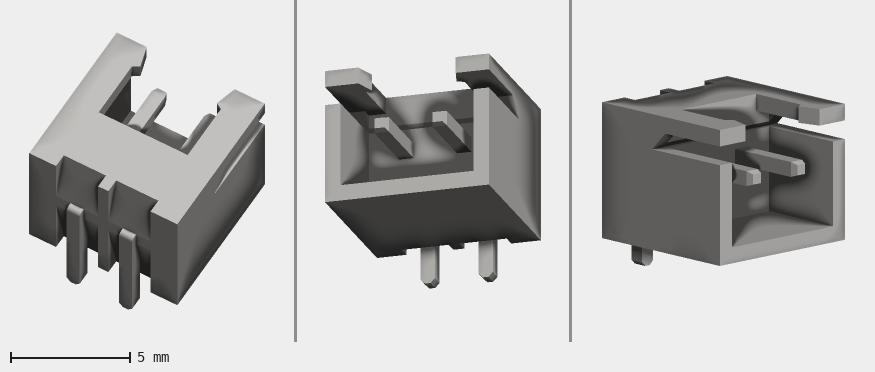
import cadquery as cq


BODY_X = 7.21
BODY_Y = 7.215
BODY_Z = 5.84
SIDE_WALL = 0.685
TOP_WALL = 0.71
CAVITY_DEPTH = 3.92

NOTCH_X = 4.33
MOUTH_INSET = 0.02
BARB_INSET = 0.3
BARB_TIP_DEPTH = 0.995
BARB_END_DEPTH = 1.185

SLOT_Z = 0.81
SLOT_DEPTH = 4.15

PIN_COUNT = 2
PIN_PITCH = 2.55
PIN_SIZE = 0.64
LEG_PROJECTION = 0.325
LEG_DROP = 1.49
TIP_SETBACK = 0.2
TIP_LENGTH = 0.3
TIP_INSET = 0.1
LEG_CHAMFER = 0.195
BEND_RADIUS = 0.2

RECESS_X = 2.05
RECESS_DEPTH = 0.64
UPPER_RECESS_Z = 2.17

PIN_TOP = BODY_Z - UPPER_RECESS_Z
PIN_BOTTOM = PIN_TOP - PIN_SIZE
PIN_CENTRES = [(i - (PIN_COUNT - 1) / 2) * PIN_PITCH for i in range(PIN_COUNT)]


def extrude_along_x(points, width, x_centre=0):
    """Prism with a (Y, Z) outline, centred on x_centre."""
    outline = cq.Workplane("YZ", origin=(x_centre, 0, 0)).polyline(points).close()
    return outline.extrude(width / 2, both=True)


def make_cavity():
    return cq.Workplane("XY").box(
        BODY_X - 2 * SIDE_WALL,
        CAVITY_DEPTH,
        BODY_Z - SIDE_WALL - TOP_WALL,
        centered=(True, False, False),
    ).translate((0, BODY_Y - CAVITY_DEPTH, SIDE_WALL))


def make_top_notch():
    half = NOTCH_X / 2
    right_side = [
        (half, BODY_Y - CAVITY_DEPTH),
        (half, BODY_Y - BARB_END_DEPTH),
        (half - BARB_INSET, BODY_Y - BARB_TIP_DEPTH),
        (half - MOUTH_INSET, BODY_Y),
    ]
    left_side = [(-x, y) for x, y in reversed(right_side)]
    outline = cq.Workplane("XY", origin=(0, 0, BODY_Z - TOP_WALL)).polyline(right_side + left_side)
    return outline.close().extrude(TOP_WALL)


def make_side_slot():
    slot_top = BODY_Z - TOP_WALL
    slot_bottom = slot_top - SLOT_Z
    inner_end = BODY_Y - SLOT_DEPTH
    outline = [
        (BODY_Y, slot_bottom),
        (inner_end, slot_bottom),
        (inner_end + SLOT_Z, slot_top),
        (BODY_Y, slot_top),
    ]
    return extrude_along_x(outline, BODY_X)


def make_rear_recesses(x_centre):
    """Wedges that run out to nothing at the band of rear wall around the pin."""
    upper = [(0, PIN_TOP), (0, BODY_Z), (RECESS_DEPTH, BODY_Z)]
    lower = [(0, PIN_BOTTOM), (0, 0), (RECESS_DEPTH, 0)]
    return extrude_along_x(upper, RECESS_X, x_centre).union(extrude_along_x(lower, RECESS_X, x_centre))


def make_pin(x_centre):
    tip_y = BODY_Y - TIP_SETBACK
    shank_end = tip_y - TIP_LENGTH
    leg_back = -LEG_PROJECTION
    leg_front = leg_back + PIN_SIZE
    bent_bar = extrude_along_x(
        [
            (leg_back, -LEG_DROP),
            (leg_back, PIN_TOP),
            (shank_end, PIN_TOP),
            (shank_end, PIN_BOTTOM),
            (leg_front, PIN_BOTTOM),
            (leg_front, -LEG_DROP),
        ],
        PIN_SIZE,
    )
    bent_bar = bent_bar.edges("|X").edges("<Y").edges(">Z").fillet(BEND_RADIUS)
    bent_bar = bent_bar.faces("<Z").edges("|Y").chamfer(LEG_CHAMFER)

    tip_size = PIN_SIZE - 2 * TIP_INSET
    pin_axis_z = PIN_TOP - PIN_SIZE / 2
    tip = (
        cq.Workplane("XZ", origin=(0, shank_end, pin_axis_z))
        .rect(PIN_SIZE, PIN_SIZE)
        .workplane(offset=-TIP_LENGTH)
        .rect(tip_size, tip_size)
        .loft(ruled=True)
    )
    return bent_bar.union(tip).translate((x_centre, 0, 0))


def make_housing(pins):
    body = cq.Workplane("XY").box(BODY_X, BODY_Y, BODY_Z, centered=(True, False, False))
    body = body.cut(make_cavity()).cut(make_top_notch()).cut(make_side_slot())
    for x_centre in PIN_CENTRES:
        body = body.cut(make_rear_recesses(x_centre))
    for pin in pins:
        body = body.cut(pin)
    return body


pins = [make_pin(x_centre) for x_centre in PIN_CENTRES]
housing = make_housing(pins)

result = cq.Compound.makeCompound([housing.val(), *[pin.val() for pin in pins]])